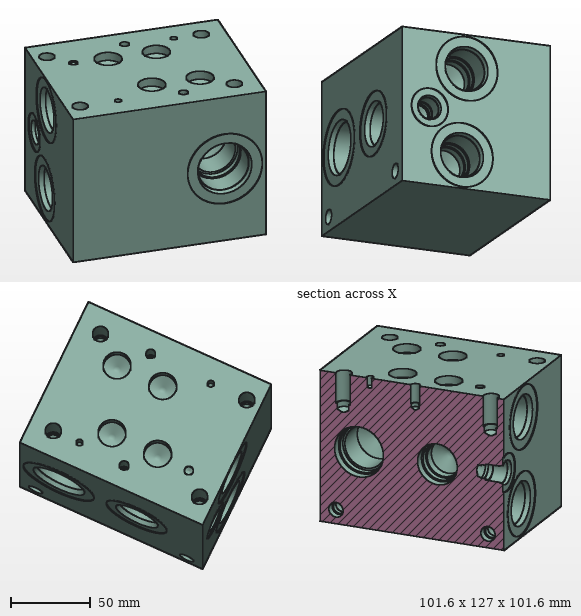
import cadquery as cq
import math

LENGTH_X = 101.6
LENGTH_Y = 127.0
LENGTH_Z = 101.6

DRILL_POINT_ANGLE = 118.0

LARGE_PORT = {
    "spotface_dia": 49.1, "seat_dia": 35.5, "seat_end_dia": 33.8, "seat_depth": 4.0,
    "thread_dia": 33.3, "thread_depth": 19.8, "tap_dia": 31.2, "tap_depth": 24.1, "pilot_dia": 28.5,
}
MEDIUM_PORT = {
    "spotface_dia": 42.0, "seat_dia": 29.2, "seat_end_dia": 27.4, "seat_depth": 4.0,
    "thread_dia": 27.0, "thread_depth": 19.8, "tap_dia": 24.9, "tap_depth": 24.1, "pilot_dia": 23.0,
}
SMALL_PORT = {
    "spotface_dia": 25.0, "seat_dia": 15.7, "seat_end_dia": 14.6, "seat_depth": 3.0,
    "thread_dia": 14.2, "thread_depth": 12.7, "tap_dia": 13.0, "tap_depth": 15.9, "pilot_dia": 12.3,
}
SPOTFACE_DEPTH = 0.6
MEDIUM_PILOT_DEPTH = 30.5
SMALL_PILOT_DEPTH = 17.8

PORT_A = (-9.5, -28.6)
PORT_B = (-6.4, 28.6)
PORT_Y = (-31.8, 0.0)
PORT_T = (36.6, 0.0)
PORT_P = (-17.5, 0.0)

T_OPENING_DIA = 2.7

VALVE_BOLT_DIA = 10.0
VALVE_BOLT_DRILL_DIA = 8.5
VALVE_BOLT_THREAD_DEPTH = 20.3
VALVE_BOLT_DRILL_DEPTH = 24.1
VALVE_BOLT_X = 34.9
VALVE_BOLT_Y = (-54.0, 47.6)

VALVE_PORT_DIA = 17.5
VALVE_PORT_DEPTH = 5.7
VALVE_PORT_X = 20.7
VALVE_PORT_PITCH = 31.8
LEFT_VALVE_PORT_Y = 13.6
RIGHT_VALVE_PORT_Y = 29.5

SMALL_BOLT_DIA = 6.0
SMALL_BOLT_DRILL_DIA = 5.0
SMALL_BOLT_THREAD_DEPTH = 12.7
SMALL_BOLT_DRILL_DEPTH = 15.2
SMALL_BOLT_PLACES = [(-36.6, -2.3), (36.6, 13.6)]

DOWEL_DIA = 4.3
DOWEL_DEPTH = 6.4
DOWEL_PLACES = [(-34.9, 29.5), (34.9, -29.0)]

DRAIN_DIA = 5.6
DRAIN_DEPTH = 1.3
DRAIN_PLACE = (-22.2, -40.5)

FOOT_BOLT_DIA = 9.5
FOOT_BOLT_DRILL_DIA = 7.9
FOOT_BOLT_THREAD_DEPTH = 19.0
FOOT_BOLT_DRILL_DEPTH = 22.9
FOOT_BOLT_Y = 52.5
FOOT_BOLT_Z = -41.3


def point_height(diameter):
    """Height of the cone that a drill of this diameter leaves."""
    return diameter / 2 / math.tan(math.radians(DRILL_POINT_ANGLE / 2))


def bore(steps):
    """Turn a cutter along +Z from its mouth at the origin.

    Each step is (start diameter, end diameter, end depth), and the last one ends in a drill point.
    """
    profile = [(0, 0)]
    depth = 0
    for start_dia, end_dia, end_depth in steps:
        profile.append((start_dia / 2, depth))
        profile.append((end_dia / 2, end_depth))
        depth = end_depth
    last_dia = steps[-1][1]
    profile.append((0, depth + point_height(last_dia)))
    return cq.Workplane("XZ").polyline(profile).close().revolve(360, (0, 0, 0), (0, 1, 0))


def plain_hole(diameter, depth):
    return bore([(diameter, diameter, depth)])


def tapped_hole(thread_dia, thread_depth, drill_dia, drill_depth):
    return bore([
        (thread_dia, thread_dia, thread_depth),
        (drill_dia, drill_dia, drill_depth),
    ])


def port(size, pilot_depth):
    return bore([
        (size["spotface_dia"], size["spotface_dia"], SPOTFACE_DEPTH),
        (size["seat_dia"], size["seat_end_dia"], size["seat_depth"]),
        (size["thread_dia"], size["thread_dia"], size["thread_depth"]),
        (size["tap_dia"], size["tap_dia"], size["tap_depth"]),
        (size["pilot_dia"], size["pilot_dia"], pilot_depth),
    ])


def from_top(cutter, x, y):
    return cutter.rotate((0, 0, 0), (1, 0, 0), 180).translate((x, y, LENGTH_Z / 2))


def from_minus_y(cutter, x, z):
    return cutter.rotate((0, 0, 0), (1, 0, 0), -90).translate((x, -LENGTH_Y / 2, z))


def from_minus_x(cutter, y, z):
    return cutter.rotate((0, 0, 0), (0, 1, 0), 90).translate((-LENGTH_X / 2, y, z))


block = cq.Workplane("XY").box(LENGTH_X, LENGTH_Y, LENGTH_Z)

medium_port = port(MEDIUM_PORT, MEDIUM_PILOT_DEPTH)
block = block.cut(from_minus_y(medium_port, *PORT_A))
block = block.cut(from_minus_y(medium_port, *PORT_B))
block = block.cut(from_minus_y(port(SMALL_PORT, SMALL_PILOT_DEPTH), *PORT_Y))

block = block.cut(from_minus_x(medium_port, *PORT_P))
large_pilot_depth = LENGTH_X / 2 - point_height(LARGE_PORT["pilot_dia"] - T_OPENING_DIA)
port_t = from_minus_x(port(LARGE_PORT, large_pilot_depth), *PORT_T)
block = block.cut(port_t).cut(port_t.mirror("YZ"))

foot_hole = tapped_hole(FOOT_BOLT_DIA, FOOT_BOLT_THREAD_DEPTH, FOOT_BOLT_DRILL_DIA, FOOT_BOLT_DRILL_DEPTH)
for y in (-FOOT_BOLT_Y, FOOT_BOLT_Y):
    block = block.cut(from_minus_x(foot_hole, y, FOOT_BOLT_Z))

valve_bolt_hole = tapped_hole(
    VALVE_BOLT_DIA, VALVE_BOLT_THREAD_DEPTH, VALVE_BOLT_DRILL_DIA, VALVE_BOLT_DRILL_DEPTH
)
for x in (-VALVE_BOLT_X, VALVE_BOLT_X):
    for y in VALVE_BOLT_Y:
        block = block.cut(from_top(valve_bolt_hole, x, y))

small_bolt_hole = tapped_hole(
    SMALL_BOLT_DIA, SMALL_BOLT_THREAD_DEPTH, SMALL_BOLT_DRILL_DIA, SMALL_BOLT_DRILL_DEPTH
)
for x, y in SMALL_BOLT_PLACES:
    block = block.cut(from_top(small_bolt_hole, x, y))

valve_port = plain_hole(VALVE_PORT_DIA, VALVE_PORT_DEPTH)
for x, first_y in ((-VALVE_PORT_X, LEFT_VALVE_PORT_Y), (VALVE_PORT_X, RIGHT_VALVE_PORT_Y)):
    for y in (first_y, first_y - VALVE_PORT_PITCH):
        block = block.cut(from_top(valve_port, x, y))

for x, y in DOWEL_PLACES:
    block = block.cut(from_top(plain_hole(DOWEL_DIA, DOWEL_DEPTH), x, y))
block = block.cut(from_top(plain_hole(DRAIN_DIA, DRAIN_DEPTH), *DRAIN_PLACE))

result = block